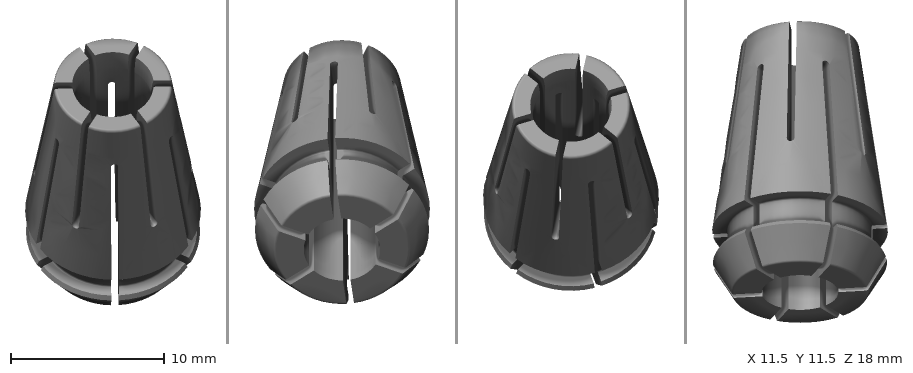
import cadquery as cq
import math

total_height = 18.0
cone_base = 4.5
flange_top = 2.5
flange_edge = 2.2

cone_base_radius = 5.75
neck_radius = 4.75
flange_radius = 5.69
bore_radius = 2.5
mouth_radius = 2.66

cone_angle = 8.0
clamp_angle = 30.0

end_rounding = 0.2
neck_rounding = 0.1

mouth_depth = 1.4

slot_width = 0.5
upper_slot_floor = 8.5
lower_slot_roof = 15.0
slots_per_end = 6


def taper(height, angle):
    """Change of radius over a height for a cone with the given half angle."""
    return height * math.tan(math.radians(angle))


def make_body():
    """Revolved outer shape: clamping flange, neck and long cone."""
    cone_top_radius = cone_base_radius - taper(total_height - cone_base, cone_angle)
    flange_top_radius = flange_radius - taper(flange_top - flange_edge, clamp_angle)
    base_radius = flange_radius - taper(flange_edge, clamp_angle)
    body = (
        cq.Workplane("XZ")
        .polyline([
            (0, 0),
            (base_radius, 0),
            (flange_radius, flange_edge),
            (flange_top_radius, flange_top),
            (neck_radius, flange_top),
            (neck_radius, cone_base),
            (cone_base_radius, cone_base),
            (cone_top_radius, total_height),
            (0, total_height),
        ])
        .close()
        .revolve(360, (0, 0), (0, 1))
    )
    body = body.faces("%CYLINDER").edges("%CIRCLE").fillet(neck_rounding)
    body = body.faces(">Z").edges().fillet(end_rounding)
    return body.faces("<Z").edges().fillet(end_rounding)


def make_bore():
    """Straight bore whose upper end flares out along an arc tangent to the wall."""
    flare = mouth_radius - bore_radius
    flare_radius = (flare**2 + mouth_depth**2) / (2 * flare)
    half_angle = math.asin(mouth_depth / flare_radius) / 2
    flare_start = total_height - mouth_depth
    arc_middle = (
        bore_radius + flare_radius * (1 - math.cos(half_angle)),
        flare_start + flare_radius * math.sin(half_angle),
    )
    return (
        cq.Workplane("XZ")
        .moveTo(0, 0)
        .lineTo(bore_radius, 0)
        .lineTo(bore_radius, flare_start)
        .threePointArc(arc_middle, (mouth_radius, total_height))
        .lineTo(0, total_height)
        .close()
        .revolve(360, (0, 0), (0, 1))
    )


def make_slot(open_end, round_end, angle):
    """Radial slot with one open end and one fully rounded end, at an angle about Z."""
    half_width = slot_width / 2
    inward = math.copysign(half_width, open_end - round_end)
    round_start = round_end + inward
    return (
        cq.Workplane("YZ")
        .moveTo(-half_width, open_end)
        .lineTo(-half_width, round_start)
        .threePointArc((0, round_end), (half_width, round_start))
        .lineTo(half_width, open_end)
        .close()
        .extrude(cone_base_radius * 2)
        .rotate((0, 0, 0), (0, 0, 1), angle)
    )


result = make_body().cut(make_bore())

slot_pitch = 360 / slots_per_end
for index in range(slots_per_end):
    upper_angle = index * slot_pitch
    lower_angle = upper_angle + slot_pitch / 2
    result = result.cut(make_slot(total_height, upper_slot_floor, upper_angle))
    result = result.cut(make_slot(0, lower_slot_roof, lower_angle))